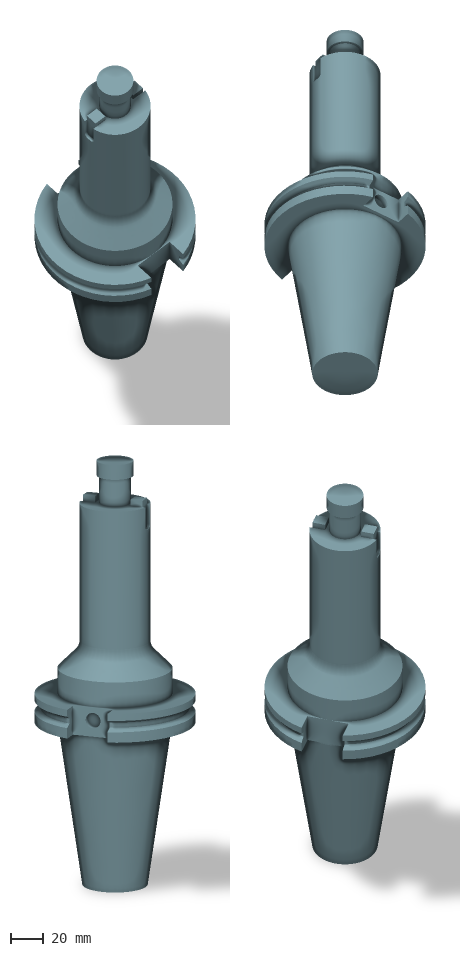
import cadquery as cq
import math

gauge_z = 101.5
flange_bottom_z = 102.7
flange_top_z = 121.0
cone_bottom_z = 137.0
barrel_top_z = 241.3
pilot_top_z = 258.8
screw_top_z = 268.2

gauge_radius = 34.9
flange_radius = 98.5 / 2
collar_radius = 35.0
barrel_radius = 21.7
pilot_radius = 9.7
screw_radius = 11.3
taper_ratio = 7 / 24
small_end_radius = gauge_radius - gauge_z * taper_ratio / 2

blend_radius = 9.0
cone_angle = math.radians(45)

groove_z = 113.0
groove_depth = 3.8
groove_mouth = 7.2
groove_floor = 3.2

notch_width = 26.3
left_notch_floor = 37.5
right_notch_floor = 35.0
notch_hole_diameter = 9.7
notch_hole_depth = 4.0
notch_hole_z = 113.0

key_width = 7.8
key_bottom_z = 226.5
key_top_z = 245.4
key_inner_y = 11.5
key_outer_y = 19.5
key_corner = 2.1


def blend_point(angle):
    """Point (radius, height) on the blend arc, turned by angle from the barrel wall."""
    cone_end_radius = barrel_radius + blend_radius * (1 - math.cos(cone_angle))
    cone_end_z = cone_bottom_z + (collar_radius - cone_end_radius) / math.tan(cone_angle)
    center_radius = barrel_radius + blend_radius
    center_z = cone_end_z + blend_radius * math.sin(cone_angle)
    return (
        center_radius - blend_radius * math.cos(angle),
        center_z - blend_radius * math.sin(angle),
    )


def make_turned_holder():
    """Taper, flange, collar, barrel and pilot turned about Z."""
    return (
        cq.Workplane("XZ")
        .moveTo(0, 0)
        .lineTo(small_end_radius, 0)
        .lineTo(gauge_radius, gauge_z)
        .lineTo(gauge_radius, flange_bottom_z)
        .lineTo(flange_radius, flange_bottom_z)
        .lineTo(flange_radius, groove_z - groove_mouth / 2)
        .lineTo(flange_radius - groove_depth, groove_z - groove_floor / 2)
        .lineTo(flange_radius - groove_depth, groove_z + groove_floor / 2)
        .lineTo(flange_radius, groove_z + groove_mouth / 2)
        .lineTo(flange_radius, flange_top_z)
        .lineTo(collar_radius, flange_top_z)
        .lineTo(collar_radius, cone_bottom_z)
        .lineTo(*blend_point(cone_angle))
        .threePointArc(blend_point(cone_angle / 2), blend_point(0))
        .lineTo(barrel_radius, barrel_top_z)
        .lineTo(pilot_radius, barrel_top_z)
        .lineTo(pilot_radius, pilot_top_z)
        .lineTo(0, pilot_top_z)
        .close()
        .revolve(360, (0, 0), (0, 1))
    )


def make_notch(side, floor_distance):
    """Cutter for a flange notch on the +X (side = 1) or -X (side = -1) side."""
    length = flange_radius
    height = flange_top_z - flange_bottom_z
    return cq.Workplane("XY").box(length, notch_width, height).translate(
        (side * (floor_distance + length / 2), 0, (flange_bottom_z + flange_top_z) / 2)
    )


def make_notch_hole():
    """Cutter for the blind hole in the floor of the -X notch."""
    return (
        cq.Workplane("YZ", origin=(-left_notch_floor, 0, 0))
        .center(0, notch_hole_z)
        .circle(notch_hole_diameter / 2)
        .extrude(notch_hole_depth)
    )


def make_key_shape(side, outer_y):
    """Key-shaped bar with rounded lower corners, on the +Y (1) or -Y (-1) side."""
    height = key_top_z - key_bottom_z
    return (
        cq.Workplane("XY")
        .box(key_width, outer_y - key_inner_y, height)
        .edges("|Y and <Z")
        .fillet(key_corner)
        .translate((0, side * (key_inner_y + outer_y) / 2, key_bottom_z + height / 2))
    )


holder = make_turned_holder()
holder = holder.cut(make_notch(-1, left_notch_floor))
holder = holder.cut(make_notch(1, right_notch_floor))
holder = holder.cut(make_notch_hole())

keys = []
for side in (-1, 1):
    holder = holder.cut(make_key_shape(side, 2 * barrel_radius))
    keys.append(make_key_shape(side, key_outer_y).val())

lock_screw = (
    cq.Workplane("XY", origin=(0, 0, pilot_top_z))
    .circle(screw_radius)
    .extrude(screw_top_z - pilot_top_z)
)

result = cq.Compound.makeCompound([holder.val(), *keys, lock_screw.val()])